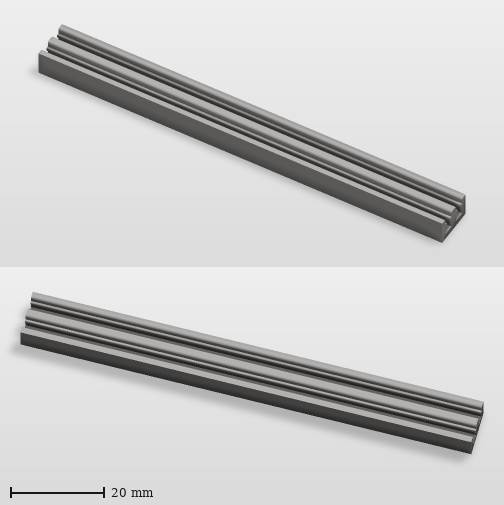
import cadquery as cq

length = 100.0
width = 10.0
height = 6.0

groove_spacing = 4.5
groove_width = 2.5
floor_height = 1.5
mouth_radius = 0.5

lip_top = 4.5
lip_thickness = 1.0
lip_depth = 0.5
lip_radius = 0.25


def rail_profile():
    """Closed cross-section in the YZ plane, with sharp corners."""
    outline = [(-width / 2, 0), (-width / 2, height)]
    for side in (-1, 1):
        center = side * groove_spacing / 2
        wall = groove_width / 2
        tip = wall - lip_depth
        lip_bottom = lip_top - lip_thickness
        right_half = [
            (wall, floor_height),
            (wall, lip_bottom),
            (tip, lip_bottom),
            (tip, lip_top),
            (wall, lip_top),
            (wall, height),
        ]
        left_half = [(-y, z) for y, z in reversed(right_half)]
        outline += [(center + y, z) for y, z in left_half + right_half]
    outline += [(width / 2, height), (width / 2, 0)]
    return cq.Workplane("YZ").polyline(outline).close()


def edges_at(offset_from_groove_center, z):
    """Centre points of the lengthwise edges at one height, on both walls of both grooves."""
    return [
        (0, groove * groove_spacing / 2 + wall * offset_from_groove_center, z)
        for groove in (-1, 1)
        for wall in (-1, 1)
    ]


def round_edges(body, points, radius):
    """Fillet the edge nearest to each point."""
    chosen = [body.edges(cq.NearestToPointSelector(point)).val() for point in points]
    return body.newObject(chosen).fillet(radius)


body = rail_profile().extrude(length / 2, both=True)
mouth_edges = edges_at(groove_width / 2, height)
body = round_edges(body, mouth_edges, mouth_radius)
for lip_edge_height in (lip_top, lip_top - lip_thickness):
    lip_edges = edges_at(groove_width / 2 - lip_depth, lip_edge_height)
    body = round_edges(body, lip_edges, lip_radius)

result = body